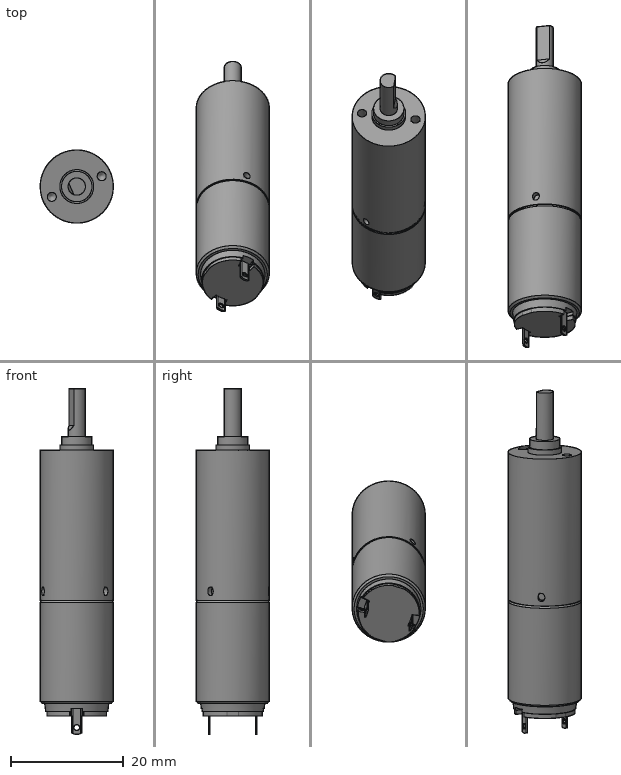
import cadquery as cq
import math


SHAFT_TOP = 10.9
FLAT_END = 4.35
FLAT_RAMP_END = 3.5
BUSHING_TOP = 2.4
BUSHING_FLANGE_TOP = 0.9
GEARBOX_BOTTOM = -26.6
MOTOR_BOTTOM = -44.85
CAP_TAPER_BOTTOM = -46.35
CAP_BOTTOM = -47.15
TERMINAL_BOTTOM = SHAFT_TOP - 61.3

BODY_RADIUS = 6.5
SHAFT_RADIUS = 1.55
BUSHING_RADIUS = 2.7
BUSHING_FLANGE_RADIUS = 3.0
CAP_TOP_RADIUS = 5.7
CAP_TAPER_RADIUS = 5.5
CAP_LIP_RADIUS = 5.4

GEARBOX_ANGLE = 202.5
MOTOR_ANGLE = 180

FLAT_DISTANCE = 1.05

DRILL_POINT_ANGLE = 118
SCREW_HOLE_RADIUS = 0.8
SCREW_HOLE_DEPTH = 3.0
SCREW_CIRCLE_RADIUS = 4.8
SIDE_HOLE_COUNT = 3
SIDE_HOLE_HEIGHT = 1.5
SIDE_HOLE_WIDTH = 1.2
SIDE_HOLE_DEPTH = 1.1
SIDE_HOLE_Z = -25.0

MOTOR_TOP_CHAMFER_HEIGHT = 0.35
MOTOR_TOP_CHAMFER_WIDTH = 0.2
MOTOR_BOTTOM_CHAMFER = 0.35

TERMINAL_WIDTH = 1.8
TERMINAL_THICKNESS = 0.3
TERMINAL_CHAMFER_WIDTH = 0.25
TERMINAL_CHAMFER_DEPTH = 0.1
TERMINAL_CENTER_Y = 4.15
TERMINAL_TIP_RISE = 0.3
TERMINAL_HOLE_RADIUS = 0.5
TERMINAL_HOLE_Z = -49.15
POCKET_WIDTH = 2.1
POCKET_TOP = -45.8
LIP_SLOT_INNER_WIDTH = 2.25
LIP_SLOT_OUTER_WIDTH = 2.7
TERMINAL_ANGLES = (0, 180)

LIP_FLAT_WIDTH = 2.0
LIP_FLAT_DISTANCE = math.sqrt(CAP_LIP_RADIUS**2 - (LIP_FLAT_WIDTH / 2) ** 2)

TERMINAL_INNER_Y = TERMINAL_CENTER_Y - TERMINAL_THICKNESS / 2


def turned(body, angle):
    """Turn a body about the Z axis."""
    return body.rotate((0, 0, 0), (0, 0, 1), angle)


def cylinder(radius, bottom, top):
    return cq.Workplane("XY").workplane(offset=bottom).circle(radius).extrude(top - bottom)


def cone(bottom_radius, top_radius, bottom, top):
    solid = cq.Solid.makeCone(bottom_radius, top_radius, top - bottom, pnt=cq.Vector(0, 0, bottom))
    return cq.Workplane(solid)


def drilled_hole(radius, depth):
    """Cutter for a blind hole along -Z from the origin, with a conical end."""
    point_depth = radius / math.tan(math.radians(DRILL_POINT_ANGLE / 2))
    profile = [(0, 0), (radius, 0), (radius, -depth), (0, -depth - point_depth)]
    return cq.Workplane("XZ").polyline(profile).close().revolve(360, (0, 0, 0), (0, 1, 0))


def make_shaft():
    """Round shaft with a flat on its +X side that runs out in a ramp."""
    flat_cutter = (
        cq.Workplane("XZ")
        .moveTo(FLAT_DISTANCE, SHAFT_TOP)
        .lineTo(FLAT_DISTANCE, FLAT_END)
        .lineTo(SHAFT_RADIUS, FLAT_RAMP_END)
        .lineTo(SHAFT_RADIUS, SHAFT_TOP)
        .close()
        .extrude(SHAFT_RADIUS, both=True)
    )
    return cylinder(SHAFT_RADIUS, 0, SHAFT_TOP).cut(flat_cutter)


def make_bushing():
    """Flanged sleeve around the shaft, seated on the gearbox."""
    flange = cylinder(BUSHING_FLANGE_RADIUS, 0, BUSHING_FLANGE_TOP)
    sleeve = cylinder(BUSHING_RADIUS, BUSHING_FLANGE_TOP, BUSHING_TOP)
    return flange.union(sleeve).cut(cylinder(SHAFT_RADIUS, 0, BUSHING_TOP))


def make_gearbox():
    """Cylindrical housing with two screw holes in front and oval holes around its side."""
    gearbox = cylinder(BODY_RADIUS, GEARBOX_BOTTOM, 0)

    screw_hole = drilled_hole(SCREW_HOLE_RADIUS, SCREW_HOLE_DEPTH)
    for x in (-SCREW_CIRCLE_RADIUS, SCREW_CIRCLE_RADIUS):
        gearbox = gearbox.cut(screw_hole.translate((x, 0, 0)))

    side_hole = (
        cq.Workplane("YZ", origin=(BODY_RADIUS, 0, SIDE_HOLE_Z))
        .ellipse(SIDE_HOLE_WIDTH / 2, SIDE_HOLE_HEIGHT / 2)
        .extrude(-SIDE_HOLE_DEPTH)
    )
    for i in range(SIDE_HOLE_COUNT):
        gearbox = gearbox.cut(turned(side_hole, i * 360 / SIDE_HOLE_COUNT))
    return gearbox


def make_motor():
    """Motor can with a steep chamfer on its top rim and an even one on its bottom rim."""
    profile = [
        (0, GEARBOX_BOTTOM),
        (BODY_RADIUS - MOTOR_TOP_CHAMFER_WIDTH, GEARBOX_BOTTOM),
        (BODY_RADIUS, GEARBOX_BOTTOM - MOTOR_TOP_CHAMFER_HEIGHT),
        (BODY_RADIUS, MOTOR_BOTTOM + MOTOR_BOTTOM_CHAMFER),
        (BODY_RADIUS - MOTOR_BOTTOM_CHAMFER, MOTOR_BOTTOM),
        (0, MOTOR_BOTTOM),
    ]
    return cq.Workplane("XZ").polyline(profile).close().revolve(360, (0, 0, 0), (0, 1, 0))


def make_terminal():
    """Solder tab on the +Y side with bevelled sides, a rounded tip and an eyelet."""
    half_width = TERMINAL_WIDTH / 2
    half_thickness = TERMINAL_THICKNESS / 2
    face_half_width = half_width - TERMINAL_CHAMFER_WIDTH
    side_half_thickness = half_thickness - TERMINAL_CHAMFER_DEPTH
    section = [
        (half_width, -side_half_thickness),
        (half_width, side_half_thickness),
        (face_half_width, half_thickness),
        (-face_half_width, half_thickness),
        (-half_width, side_half_thickness),
        (-half_width, -side_half_thickness),
        (-face_half_width, -half_thickness),
        (face_half_width, -half_thickness),
    ]
    bar = (
        cq.Workplane("XY", origin=(0, TERMINAL_CENTER_Y, TERMINAL_BOTTOM))
        .polyline(section)
        .close()
        .extrude(POCKET_TOP - TERMINAL_BOTTOM)
    )

    tip_corner = TERMINAL_BOTTOM + TERMINAL_TIP_RISE
    outline = (
        cq.Workplane("XZ", origin=(0, TERMINAL_CENTER_Y, 0))
        .moveTo(-half_width, POCKET_TOP)
        .lineTo(-half_width, tip_corner)
        .threePointArc((0, TERMINAL_BOTTOM), (half_width, tip_corner))
        .lineTo(half_width, POCKET_TOP)
        .close()
        .extrude(half_thickness, both=True)
    )
    eyelet = (
        cq.Workplane("XZ", origin=(0, TERMINAL_CENTER_Y, TERMINAL_HOLE_Z))
        .circle(TERMINAL_HOLE_RADIUS)
        .extrude(half_thickness, both=True)
    )
    return bar.intersect(outline).cut(eyelet)


def outward_slot(inner_width, outer_width, top):
    """Cutter open downward and to the +Y side, with its inner wall behind the terminal.

    The outer width is reached at the surface of the lip.
    """
    profile = [
        (-inner_width / 2, TERMINAL_INNER_Y),
        (-outer_width / 2, CAP_LIP_RADIUS),
        (-outer_width / 2, BODY_RADIUS),
        (outer_width / 2, BODY_RADIUS),
        (outer_width / 2, CAP_LIP_RADIUS),
        (inner_width / 2, TERMINAL_INNER_Y),
    ]
    return cq.Workplane("XY", origin=(0, 0, CAP_BOTTOM)).polyline(profile).close().extrude(top - CAP_BOTTOM)


def make_cap():
    """Tapered end cap with a lip, side flats and terminal pockets."""
    taper = cone(CAP_TAPER_RADIUS, CAP_TOP_RADIUS, CAP_TAPER_BOTTOM, MOTOR_BOTTOM)
    lip_flats = (
        cq.Workplane("XY", origin=(0, 0, CAP_BOTTOM))
        .rect(2 * LIP_FLAT_DISTANCE, 2 * BODY_RADIUS)
        .extrude(CAP_TAPER_BOTTOM - CAP_BOTTOM)
    )
    lip = cylinder(CAP_LIP_RADIUS, CAP_BOTTOM, CAP_TAPER_BOTTOM).intersect(lip_flats)
    cap = taper.union(lip)

    pocket = outward_slot(POCKET_WIDTH, POCKET_WIDTH, POCKET_TOP)
    lip_slot = outward_slot(LIP_SLOT_INNER_WIDTH, LIP_SLOT_OUTER_WIDTH, CAP_TAPER_BOTTOM)
    pocket = pocket.union(lip_slot)
    for angle in TERMINAL_ANGLES:
        cap = cap.cut(turned(pocket, angle))
    return cap


shaft = turned(make_shaft(), GEARBOX_ANGLE)
bushing = turned(make_bushing(), GEARBOX_ANGLE)
gearbox = turned(make_gearbox(), GEARBOX_ANGLE)
motor = turned(make_motor(), MOTOR_ANGLE)
cap = turned(make_cap(), MOTOR_ANGLE)
terminals = [turned(make_terminal(), angle) for angle in TERMINAL_ANGLES]

result = cq.Compound.makeCompound([
    shaft.val(),
    bushing.val(),
    gearbox.val(),
    motor.val(),
    cap.val(),
    *[terminal.val() for terminal in terminals],
])